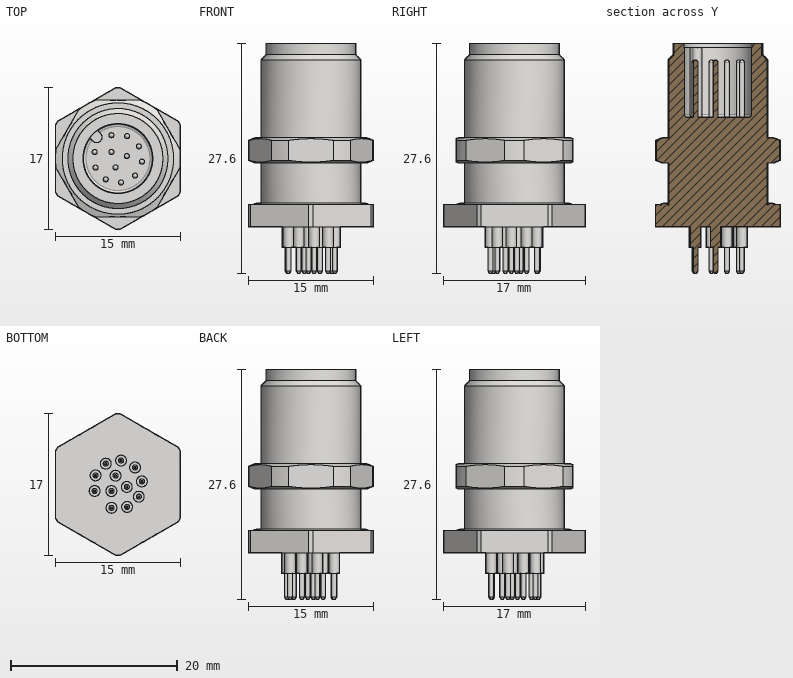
import cadquery as cq
import math

total_height = 27.6
sleeve_bottom = 3.15
flange_bottom = 5.6
flange_top = 8.3
nut_bottom = 13.25
nut_top = 16.3
shoulder_top = 26.25
contact_top = 25.6

shell_diameter = 12.0
nose_diameter = 10.8
shoulder_chamfer = (shell_diameter - nose_diameter) / 2

mouth_diameter = 8.4
mouth_depth = 0.5
insert_bore_diameter = 8.28
socket_depth = 8.83
socket_floor_fillet = 0.3

flange_across_flats = 15.0
flange_corner_diameter = 17.0

groove_diameter = 14.0
groove_depth = 0.1
seal_protrusion = 0.15

nut_across_flats = 14.0
nut_corner_diameter = 15.0
nut_face_diameter = 13.35
nut_bevel_height = 0.33

coding_angle = 135.0
key_width = 1.3
key_nose_center_radius = 3.62

contact_diameter = 0.6
sleeve_diameter = 1.3
solder_tip_length = 0.33
solder_tip_inset = 0.2
outer_contact_count = 9
outer_circle_radius = 2.9
outer_contact_pitch = 37.6
inner_contact_count = 3
inner_circle_radius = 1.1


def cylinder(diameter, bottom, top):
    return cq.Workplane("XY").workplane(offset=bottom).circle(diameter / 2).extrude(top - bottom)


def turned_hexagon(across_flats, corner_diameter, bottom, top, corner_angle):
    """Hexagonal prism whose corners are rounded by a concentric cylinder."""
    across_corners = across_flats / math.cos(math.radians(30))
    prism = (
        cq.Workplane("XY")
        .workplane(offset=bottom)
        .polygon(6, across_corners)
        .extrude(top - bottom)
        .rotate((0, 0, 0), (0, 0, 1), corner_angle)
    )
    return prism.intersect(cylinder(corner_diameter, bottom, top))


def make_shell():
    shell = cylinder(shell_diameter, flange_bottom, shoulder_top)
    shell = shell.faces(">Z").chamfer(shoulder_chamfer)
    return shell.union(cylinder(nose_diameter, nut_top, total_height))


def make_flange():
    """Flange with corners along Y and a domed seal in its groove."""
    flange = turned_hexagon(
        flange_across_flats, flange_corner_diameter, flange_bottom, flange_top, 30
    )
    inner_radius = shell_diameter / 2
    outer_radius = groove_diameter / 2
    crest_radius = (inner_radius + outer_radius) / 2
    seal_top = flange_top + seal_protrusion
    groove_floor = flange_top - groove_depth
    flange = flange.cut(cylinder(groove_diameter, groove_floor, flange_top))
    seal = (
        cq.Workplane("XZ")
        .moveTo(inner_radius, flange_bottom)
        .lineTo(outer_radius, flange_bottom)
        .lineTo(outer_radius, groove_floor)
        .threePointArc((crest_radius, seal_top), (inner_radius, groove_floor))
        .close()
        .revolve(360, (0, 0, 0), (0, 1, 0))
    )
    return flange.union(seal)


def make_nut():
    """Nut with corners along X, bevelled at both faces."""
    nut = turned_hexagon(nut_across_flats, nut_corner_diameter, nut_bottom, nut_top, 0)
    face_radius = nut_face_diameter / 2
    rim_radius = nut_corner_diameter / 2
    bevel_envelope = (
        cq.Workplane("XZ")
        .moveTo(0, nut_bottom)
        .lineTo(face_radius, nut_bottom)
        .lineTo(rim_radius, nut_bottom + nut_bevel_height)
        .lineTo(rim_radius, nut_top - nut_bevel_height)
        .lineTo(face_radius, nut_top)
        .lineTo(0, nut_top)
        .close()
        .revolve(360, (0, 0, 0), (0, 1, 0))
    )
    return nut.intersect(bevel_envelope)


def make_socket():
    """Empty space of the socket."""
    floor = total_height - socket_depth
    bore = cylinder(insert_bore_diameter, floor, total_height)
    bore = bore.faces("<Z").edges().fillet(socket_floor_fillet)
    return bore.union(cylinder(mouth_diameter, total_height - mouth_depth, total_height))


def make_key():
    """Round-nosed rib from the socket wall toward the axis, level with the insert rim."""
    wall_radius = (mouth_diameter + nose_diameter) / 4
    nose_tip = key_nose_center_radius - key_width / 2
    bottom = total_height - socket_depth
    height = socket_depth - mouth_depth
    key = (
        cq.Workplane("XY")
        .workplane(offset=bottom)
        .moveTo(wall_radius, -key_width / 2)
        .lineTo(wall_radius, key_width / 2)
        .lineTo(key_nose_center_radius, key_width / 2)
        .threePointArc((nose_tip, 0), (key_nose_center_radius, -key_width / 2))
        .close()
        .extrude(height)
    )
    return key.rotate((0, 0, 0), (0, 0, 1), coding_angle)


def make_contact():
    """One contact on the Z axis: tapered solder end, sleeve and round mating end."""
    radius = contact_diameter / 2
    tip_radius = radius - solder_tip_inset
    pin = (
        cq.Workplane("XZ")
        .moveTo(0, 0)
        .lineTo(tip_radius, 0)
        .lineTo(radius, solder_tip_length)
        .lineTo(radius, contact_top - radius)
        .radiusArc((0, contact_top), -radius)
        .close()
        .revolve(360, (0, 0, 0), (0, 1, 0))
    )
    return pin.union(cylinder(sleeve_diameter, sleeve_bottom, (flange_bottom + flange_top) / 2))


def contact_positions():
    outer_span = (outer_contact_count - 1) * outer_contact_pitch
    first_outer_angle = coding_angle + (360 - outer_span) / 2
    polar = [
        (outer_circle_radius, first_outer_angle + i * outer_contact_pitch)
        for i in range(outer_contact_count)
    ]
    polar += [
        (inner_circle_radius, coding_angle + i * 360 / inner_contact_count)
        for i in range(inner_contact_count)
    ]
    return [
        (radius * math.cos(math.radians(angle)), radius * math.sin(math.radians(angle)))
        for radius, angle in polar
    ]


result = make_shell().union(make_flange()).union(make_nut())
result = result.cut(make_socket()).union(make_key())
contact = make_contact()
for x, y in contact_positions():
    result = result.union(contact.translate((x, y, 0)))